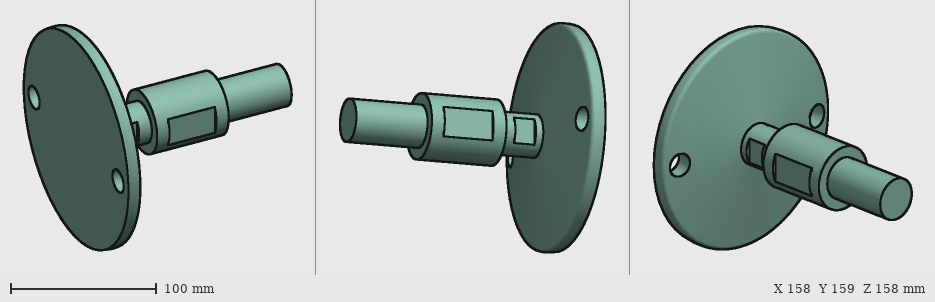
import cadquery as cq
import math

PLATE_DIAMETER = 158.0
BOTTOM_DIAMETER = 157.1
TAPER_HEIGHT = 4.0
RIM_HEIGHT = 9.7
RIM_FILLET = 2.9
CONE_HEIGHT = 20.4

STEM_DIAMETER = 30.0
SLEEVE_DIAMETER = 46.0
SLEEVE_START = 50.9
SLEEVE_LENGTH = 55.3
OVERALL_LENGTH = 159.0

STEM_FLAT_START = 25.8
STEM_FLAT_LENGTH = 15.3
STEM_FLAT_WIDTH = 24.2
SLEEVE_FLAT_LENGTH = 36.3
SLEEVE_FLAT_WIDTH = 41.0

HOLE_DIAMETER = 16.5
HOLE_RADIUS_AT_BOTTOM = 63.0

plate_radius = PLATE_DIAMETER / 2
stem_radius = STEM_DIAMETER / 2
sleeve_end = SLEEVE_START + SLEEVE_LENGTH
sleeve_flat_start = SLEEVE_START + (SLEEVE_LENGTH - SLEEVE_FLAT_LENGTH) / 2
cone_angle = math.atan2(CONE_HEIGHT - RIM_HEIGHT, plate_radius - stem_radius)


def cylinder_y(diameter, start, end):
    """Cylinder along the Y axis between two Y positions."""
    return cq.Workplane("XZ", origin=(0, start, 0)).circle(diameter / 2).extrude(start - end)


def flat_cutters(diameter, width_across, start, length):
    """Two blocks that leave a pair of flats on a round section."""
    depth = (diameter - width_across) / 2
    cutters = cq.Workplane("XY")
    for side in (-1, 1):
        center_x = side * (width_across + depth) / 2
        block = cq.Workplane("XY").box(depth, length, diameter)
        cutters = cutters.add(block.translate((center_x, start + length / 2, 0)))
    return cutters.combine()


def mounting_holes():
    """Two hole cutters that lean outwards so that they meet the cone at right angles."""
    holes = cq.Workplane("XY")
    for side in (-1, 1):
        direction = cq.Vector(side * math.sin(cone_angle), math.cos(cone_angle), 0)
        bottom = cq.Vector(side * HOLE_RADIUS_AT_BOTTOM, 0, 0)
        start = bottom - direction * CONE_HEIGHT
        holes = holes.add(
            cq.Solid.makeCylinder(HOLE_DIAMETER / 2, 2 * CONE_HEIGHT, start, direction)
        )
    return holes.combine()


def make_plate():
    """Conical foot plate with a slightly tapered lower rim, a rounded upper rim and two holes."""
    profile = [
        (0, 0),
        (BOTTOM_DIAMETER / 2, 0),
        (plate_radius, TAPER_HEIGHT),
        (plate_radius, RIM_HEIGHT),
        (stem_radius, CONE_HEIGHT),
        (0, CONE_HEIGHT),
    ]
    plate = cq.Workplane("XY").polyline(profile).close().revolve(360, (0, 0, 0), (0, 1, 0))
    rim_center = (0, RIM_HEIGHT, 0)
    plate = plate.edges("%CIRCLE").edges(cq.selectors.NearestToPointSelector(rim_center))
    return plate.fillet(RIM_FILLET).cut(mounting_holes())


def make_stem():
    """Round stem with a sleeve section and two pairs of wrench flats."""
    stem = cylinder_y(STEM_DIAMETER, CONE_HEIGHT, OVERALL_LENGTH)
    stem = stem.cut(flat_cutters(STEM_DIAMETER, STEM_FLAT_WIDTH, STEM_FLAT_START, STEM_FLAT_LENGTH))
    sleeve = cylinder_y(SLEEVE_DIAMETER, SLEEVE_START, sleeve_end)
    sleeve = sleeve.cut(
        flat_cutters(SLEEVE_DIAMETER, SLEEVE_FLAT_WIDTH, sleeve_flat_start, SLEEVE_FLAT_LENGTH)
    )
    return stem.union(sleeve)


plate = make_plate()
stem = make_stem()
result = cq.Compound.makeCompound([plate.val(), stem.val()])